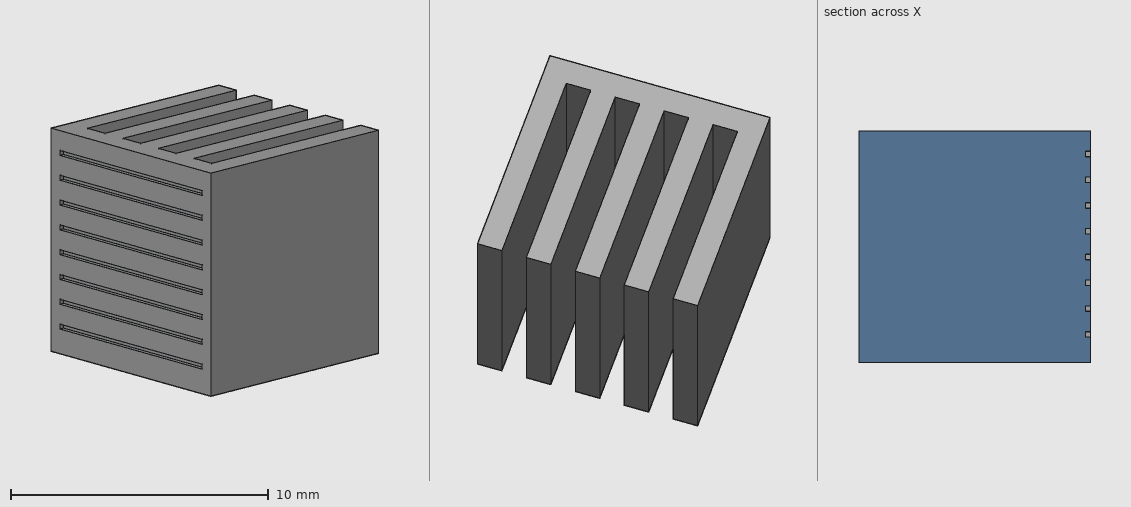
import cadquery as cq

side = 9.0
fin_count = 5
groove_count = 8
groove_height = 0.2
groove_depth = groove_height

fin_width = side / (2 * fin_count - 1)
fin_pitch = 2 * fin_width
base_thickness = fin_width

groove_length = side - fin_width
groove_pitch = fin_width
first_groove_bottom = fin_width


def box_at(size, corner):
    """Box of the given size with its lowest corner at the given point."""
    return cq.Workplane("XY").box(*size, centered=False).translate(corner)


def cut_fin_gaps(body):
    """Cut the full-height gaps that separate the fins."""
    gap_size = (fin_width, side - base_thickness, side)
    for i in range(fin_count - 1):
        body = body.cut(box_at(gap_size, (fin_width + i * fin_pitch, base_thickness, 0)))
    return body


def cut_grooves(body):
    """Cut the shallow horizontal grooves into the -Y face."""
    groove_size = (groove_length, groove_depth, groove_height)
    groove_start = (side - groove_length) / 2
    for i in range(groove_count):
        groove_bottom = first_groove_bottom + i * groove_pitch
        body = body.cut(box_at(groove_size, (groove_start, 0, groove_bottom)))
    return body


block = box_at((side, side, side), (0, 0, 0))
result = cut_grooves(cut_fin_gaps(block))